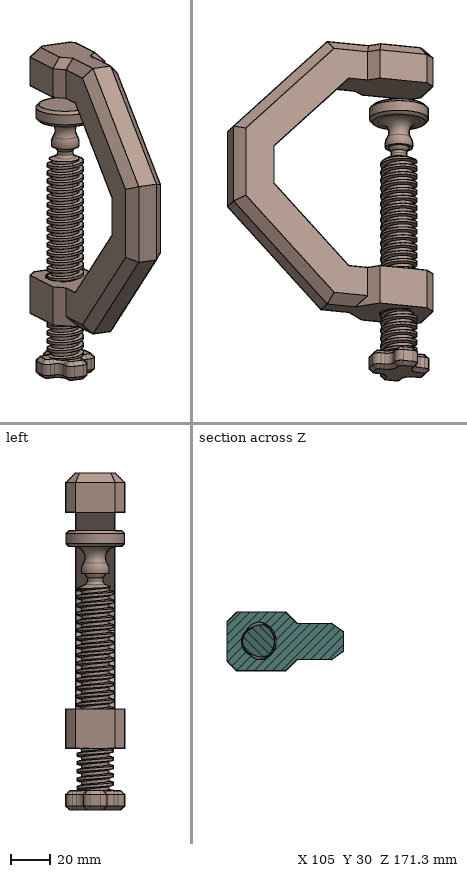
import cadquery as cq
import math

total_height = 171.3
frame_length = 105.0
frame_height = 140.0
frame_bevel = 5.0
bar_width = 20.0
jaw_width = 30.0
jaw_corner = 5.0
outer_bend = 55.0
inner_bend = 45.0
spine_depth = 20.0

knob_span = 30.0
knob_height = 10.0
knob_bevel = 2.0
knob_arm_width = 12.0
knob_round = 3.5
neck_diameter = 8.0
ball_diameter = 11.0
shaft_sink = 0.3
neck_bottom = 116.3
neck_fillet = 1.9
tip_angle = 25

thread_turns = 24
thread_length = 101.0
ridge_start = 10.3
root_diameter = 14.2
crest_diameter = 18.5
ridge_base = 2.5
ridge_crest = 1.4
hole_root_diameter = 14.9
hole_crest_diameter = 19.9
groove_gap = 0.3
crest_clearance = 1.7
spare_turns = 2

pad_diameter = 30.0
pad_top = 142.0
pad_thickness = 8.2
pad_bevel = 1.5
socket_diameter = 14.2
flare_radius = 5.5
flare_diameter = 21.4
socket_lip = 1.5

jaw_end = -jaw_width / 2
frame_back = jaw_end + frame_length
frame_bottom = total_height - frame_height
pitch = thread_length / thread_turns
pad_bottom = pad_top - pad_thickness
flare_center_z = pad_bottom - flare_radius
socket_radius = socket_diameter / 2
ball_radius = ball_diameter / 2
ball_center_z = flare_center_z - math.sqrt(
    (socket_radius + flare_radius) ** 2 - (flare_diameter / 2) ** 2
)


def make_threaded_rod(root_dia, crest_dia, base_width, crest_width, first_ridge, turns):
    """Solid rod with a right-hand trapezoid thread, built one turn at a time.

    first_ridge is the height of the lowest ridge centre on the +X side.
    """
    root = root_dia / 2
    crest = crest_dia / 2
    profile = [
        (root, base_width / 2 - pitch),
        (root, -base_width / 2),
        (crest, -crest_width / 2),
        (crest, crest_width / 2),
        (root, base_width / 2),
    ]

    def one_turn(radius, height):
        return cq.Wire.makeHelix(pitch, pitch, radius).translate(cq.Vector(0, 0, height))

    faces = []
    for turn in range(turns):
        base = first_ridge + turn * pitch
        for (low_r, low_z), (high_r, high_z) in zip(profile, profile[1:]):
            low_edge = one_turn(low_r, base + low_z)
            high_edge = one_turn(high_r, base + high_z)
            faces.append(cq.Face.makeRuledSurface(low_edge, high_edge))

    for end in (first_ridge, first_ridge + turns * pitch):
        step = [(0, profile[0][1]), *profile, (0, profile[-1][1])]
        corners = [cq.Vector(r, 0, end + z) for r, z in step]
        axis = cq.Wire.makePolygon([corners[0], corners[-1]])
        faces.append(cq.Face.makeRuledSurface(axis, one_turn(root, corners[0].z)))
        faces.append(cq.Face.makeFromWires(cq.Wire.makePolygon(corners, close=True)))
    return cq.Workplane(cq.Solid.makeSolid(cq.Shell.makeShell(faces)).fix())


def make_jaw(bottom):
    """Jaw block with cut corners that narrows at 45 degrees into the arm."""
    half = jaw_width / 2
    full_end = jaw_end + jaw_width
    outline = [
        (jaw_end, half - jaw_corner),
        (jaw_end + jaw_corner, half),
        (full_end, half),
        (full_end + half, 0),
        (full_end, -half),
        (jaw_end + jaw_corner, -half),
        (jaw_end, -half + jaw_corner),
    ]
    return cq.Workplane("XY", origin=(0, 0, bottom)).polyline(outline).close().extrude(bar_width)


def make_arm():
    """C-shaped bar with 45-degree bends and bevelled outer edges."""
    start = jaw_end + jaw_width
    outer_x = jaw_end + outer_bend
    inner_x = jaw_end + inner_bend
    inner_back = frame_back - spine_depth
    outer_drop = frame_back - outer_x
    inner_drop = bar_width + inner_back - inner_x
    outline = [
        (start, total_height),
        (outer_x, total_height),
        (frame_back, total_height - outer_drop),
        (frame_back, frame_bottom + outer_drop),
        (outer_x, frame_bottom),
        (start, frame_bottom),
        (start, frame_bottom + bar_width),
        (inner_x, frame_bottom + bar_width),
        (inner_back, frame_bottom + inner_drop),
        (inner_back, total_height - inner_drop),
        (inner_x, total_height - bar_width),
        (start, total_height - bar_width),
    ]
    arm = cq.Workplane("XZ").polyline(outline).close().extrude(bar_width / 2, both=True)
    outer_faces = arm.faces(">Z or <Z or >X or (#Y and >(1,0,1)) or (#Y and >(1,0,-1))")
    return outer_faces.edges("not |Y").chamfer(frame_bevel)


def make_tapped_hole():
    """Threaded cutting body in step with the screw, reaching past both faces of the bottom jaw."""
    turns_below = math.floor((frame_bottom - ridge_start) / pitch) - spare_turns
    turns = math.ceil(bar_width / pitch) + 2 * spare_turns
    return make_threaded_rod(
        hole_root_diameter,
        hole_crest_diameter,
        ridge_base + groove_gap,
        ridge_crest + groove_gap,
        ridge_start + turns_below * pitch,
        turns,
    )


def make_frame():
    """Arm, bevelled top jaw, and bottom jaw with the tapped hole."""
    top_jaw = make_jaw(total_height - bar_width).faces(">Z").chamfer(frame_bevel)
    bottom_jaw = make_jaw(frame_bottom).cut(make_tapped_hole())
    return make_arm().union(top_jaw).union(bottom_jaw)


def make_knob():
    """Four-armed knob with rounded corners and bevelled rims."""
    bar = cq.Workplane("XY").rect(knob_span, knob_arm_width).extrude(knob_height)
    cross = bar.union(bar.rotate((0, 0, 0), (0, 0, 1), 90))
    return cross.edges("|Z").fillet(knob_round).faces("<Z or >Z").chamfer(knob_bevel)


def make_shaft():
    """Threaded shaft, flat at the bottom and trimmed by a cone and a fillet at the neck."""
    rod = make_threaded_rod(
        root_diameter,
        crest_diameter,
        ridge_base,
        ridge_crest,
        ridge_start - spare_turns * pitch,
        thread_turns + 2 * spare_turns,
    )
    neck = neck_diameter / 2
    crest = crest_diameter / 2
    bottom = knob_height - shaft_sink
    sweep = math.radians(90 - tip_angle)
    fillet_x = neck + neck_fillet
    cone_start = fillet_x - neck_fillet * math.cos(sweep)
    cone_start_z = neck_bottom - neck_fillet * math.sin(sweep)
    outside = crest + crest_clearance
    cone_drop = (outside - cone_start) * math.tan(math.radians(tip_angle))
    envelope = (
        cq.Workplane("XZ")
        .moveTo(0, bottom)
        .lineTo(outside, bottom)
        .lineTo(outside, cone_start_z - cone_drop)
        .lineTo(cone_start, cone_start_z)
        .threePointArc(
            (
                fillet_x - neck_fillet * math.cos(sweep / 2),
                neck_bottom - neck_fillet * math.sin(sweep / 2),
            ),
            (neck, neck_bottom),
        )
        .lineTo(0, neck_bottom)
        .close()
        .revolve(360, (0, 0, 0), (0, 1, 0))
    )
    return rod.intersect(envelope)


def make_screw():
    """Knob, threaded shaft, neck and ball in one piece."""
    neck_length = ball_center_z - neck_bottom
    neck = cq.Workplane("XY", origin=(0, 0, neck_bottom)).circle(neck_diameter / 2).extrude(neck_length)
    ball = cq.Workplane("XY", origin=(0, 0, ball_center_z)).sphere(ball_radius)
    return make_knob().union(make_shaft()).union(neck.union(ball))


def make_pad():
    """Pressure disc with a flared neck and a spherical socket around the ball."""
    disc = pad_diameter / 2
    flare_x = flare_diameter / 2
    flare_start = flare_x * socket_radius / (socket_radius + flare_radius)
    flare_start_z = ball_center_z + (flare_center_z - ball_center_z) * flare_start / flare_x
    middle = math.radians(150)
    rim_z = ball_center_z - socket_lip
    rim = math.sqrt(socket_radius**2 - socket_lip**2)
    profile = (
        cq.Workplane("XZ")
        .moveTo(0, pad_top)
        .lineTo(disc - pad_bevel, pad_top)
        .lineTo(disc, pad_top - pad_bevel)
        .lineTo(disc, pad_bottom + pad_bevel)
        .lineTo(disc - pad_bevel, pad_bottom)
        .lineTo(flare_x, pad_bottom)
        .threePointArc(
            (
                flare_x + flare_radius * math.cos(middle),
                flare_center_z + flare_radius * math.sin(middle),
            ),
            (flare_start, flare_start_z),
        )
        .threePointArc((socket_radius, ball_center_z), (rim, rim_z))
        .lineTo(0, rim_z)
        .close()
    )
    pad = profile.revolve(360, (0, 0, 0), (0, 1, 0))
    ball = cq.Workplane("XY", origin=(0, 0, ball_center_z)).sphere(ball_radius)
    return pad.cut(ball)


frame = make_frame()
screw = make_screw()
pad = make_pad()

result = cq.Compound.makeCompound([frame.val(), screw.val(), pad.val()])